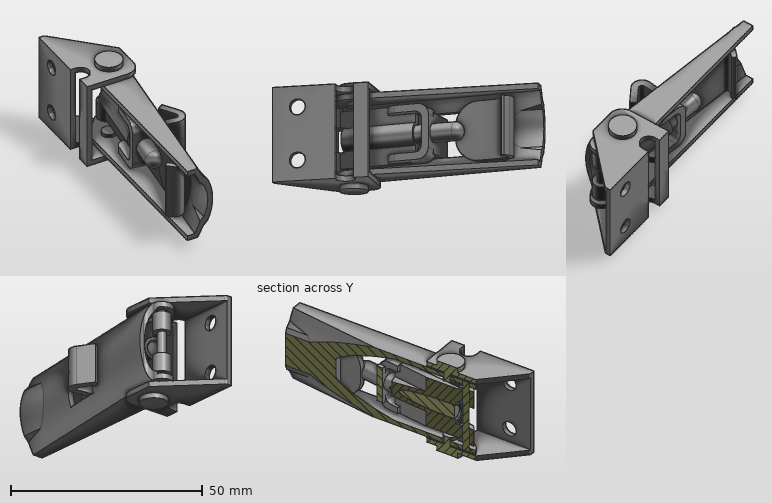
import cadquery as cq
import math


tilt = 7.5
sheet = 1.5
strip = 2.0

bracket_half_width = 12.7
bracket_length = 25.95
bracket_height = 16.1
bracket_toe = 1.6
toe_round = 1.2
shoulder_round = 3.9
slot_width = 5.0
slot_height = 4.15
mount_hole_dia = 4.2
mount_hole_x = 6.8
mount_hole_z = 7.1

pivot_x = 19.45
pivot_y = 10.15
rivet_head_dia = 7.5
rivet_shank_dia = 4.0
rivet_length = 28.3
rivet_inner_z = 8.5

pin_x = 13.4
pin_y = 12.55
pin_dia = 2.5

lever_end_x = 70.5
lever_half_width = 11.0
lever_roof_radius = 20.0
lever_roof_top = 6.4
lever_nose_x = 14.9
lever_pin_lug_radius = 3.0
lever_pivot_lug_radius = 5.0
lever_nose_round = 2.0
window_start = 24.5
window_end = 35.45
window_half_width = 6.0

tab_start_x = 56.4
tab_base_y = 8.45
tab_outer_half_width = 6.5
tab_outer_edge_y = 11.3
tab_crest_y = 12.75
tab_inner_half_width = 5.0
tab_inner_edge_y = 10.1

catch_half_width = 8.0
catch_underside = 1.5
catch_start = 33.8
catch_corner_round = 6.35
catch_bend_at = 48.0
catch_bend_inner = 1.0
catch_fold_angle = 127.5
catch_lip_length = 2.05
catch_lip_chamfer = 0.4
catch_pad_half_width = 8.7
catch_pad_start = 40.75
catch_pad_full_start = 42.45
catch_pad_full_end = 47.1

hinge_dia = 4.9
hinge_inner_z = 3.3
hinge_outer_z = 8.5
link_half_width = 7.7
link_end = 23.5
barrel_dia = 6.5
barrel_start = 3.25
barrel_mouth_depth = 0.4
shoulder_end = 21.85

rod_dia = 5.0
rod_core_dia = 4.15
rod_tip = 36.7
frame_half_width = 7.5
frame_start = 16.0
frame_end = 28.1
frame_bottom = -3.6
frame_top = 1.8
frame_outer_round = 3.0
frame_inner_round = 2.0
frame_foot_round = 2.5
hook_half_width = 5.5
hook_bend_inner = 1.0
hook_bend_height = 9.3
hook_bend_angle = 130.0
hook_tip_length = 5.2

rivet_half_length = rivet_length / 2
lever_inner_half_width = lever_half_width - sheet
link_bottom = -strip / 2
catch_top = catch_underside + sheet
rod_radius = rod_dia / 2
far = 84.6


def both_sides(shape):
    """Join a shape to its mirror image across Z = 0."""
    return shape.union(shape.mirror("XY"))


def slab(outline, half_width):
    """Extrude a closed XY outline equally to both sides of Z = 0."""
    return outline.extrude(half_width, both=True)


def tilted(shape):
    """Move a shape drawn along X from the origin onto the sloping axis through the pin."""
    return shape.rotate((0, 0, 0), (0, 0, 1), -tilt).translate((pin_x, pin_y, 0))


def box(x0, x1, y0, y1, z0, z1):
    return cq.Workplane("XY").box(x1 - x0, y1 - y0, z1 - z0, centered=False).translate((x0, y0, z0))


def round_bar(x, y, dia, z0, z1):
    """Cylinder parallel to Z."""
    return cq.Workplane("XY", origin=(x, y, z0)).circle(dia / 2).extrude(z1 - z0)


def axial_bar(dia, x0, x1):
    """Cylinder along the X axis."""
    return cq.Workplane("YZ", origin=(x0, 0, 0)).circle(dia / 2).extrude(x1 - x0)


def make_bracket():
    front_top_x = bracket_height - bracket_toe
    outline = (
        cq.Workplane("XY")
        .polyline([
            (0, 0), (bracket_length, 0), (bracket_length, bracket_height),
            (front_top_x, bracket_height), (0, bracket_toe),
        ])
        .close()
    )
    body = slab(outline, bracket_half_width)
    body = body.edges(cq.selectors.NearestToPointSelector((0, bracket_toe, 0))).fillet(toe_round)
    shoulder = (bracket_length, bracket_height, 0)
    body = body.edges(cq.selectors.NearestToPointSelector(shoulder)).fillet(shoulder_round)

    inner_z = bracket_half_width - sheet
    body = body.cut(box(-far, far, sheet, far, -inner_z, inner_z))

    slot_radius = slot_width / 2
    slot_centre_y = slot_height - slot_radius
    body = body.cut(box(pivot_x - slot_radius, pivot_x + slot_radius, -0.7, slot_centre_y, -far, far))
    body = body.cut(round_bar(pivot_x, slot_centre_y, slot_width, -far, far))

    holes = (
        cq.Workplane("XZ")
        .pushPoints([(mount_hole_x, mount_hole_z), (mount_hole_x, -mount_hole_z)])
        .circle(mount_hole_dia / 2)
        .extrude(-far)
    )
    body = body.cut(holes)

    head = round_bar(pivot_x, pivot_y, rivet_head_dia, bracket_half_width, rivet_half_length)
    shank = round_bar(pivot_x, pivot_y, rivet_shank_dia, rivet_inner_z, bracket_half_width)
    return body.union(both_sides(head.union(shank)))


def roof_prism(half_width, roof_radius):
    """Long bar with an arched top, its arch centred with the lever roof."""
    centre_y = lever_roof_top - lever_roof_radius
    eave_y = centre_y + math.sqrt(roof_radius**2 - half_width**2)
    section = (
        cq.Workplane("YZ", origin=(-far, 0, 0))
        .moveTo(-far, -half_width)
        .lineTo(eave_y, -half_width)
        .threePointArc((centre_y + roof_radius, 0), (eave_y, half_width))
        .lineTo(-far, half_width)
        .close()
    )
    return tilted(section.extrude(3 * far))


def lever_side_outline():
    """Side shape: two round lugs joined by a tangent, then the straight lower edge."""
    nose_centre_x = lever_nose_x - lever_nose_round
    reach = lever_pin_lug_radius + lever_nose_round
    nose_dx = nose_centre_x - pin_x
    nose_dy = math.sqrt(reach**2 - nose_dx**2)
    nose_centre_y = pin_y + nose_dy
    lug_share = lever_pin_lug_radius / reach
    nose_foot = (pin_x + nose_dx * lug_share, pin_y + nose_dy * lug_share)
    nose_mid = (
        nose_centre_x + lever_nose_round * math.cos(math.radians(45)),
        nose_centre_y - lever_nose_round * math.sin(math.radians(45)),
    )

    dx = pivot_x - pin_x
    dy = pivot_y - pin_y
    growth = math.asin((lever_pivot_lug_radius - lever_pin_lug_radius) / math.hypot(dx, dy))
    normal = math.atan2(dy, dx) - growth - math.pi / 2

    def on_lug(x, y, radius, angle):
        return (x + radius * math.cos(angle), y + radius * math.sin(angle))

    lower_mid = (normal - math.pi / 2) / 2
    return (
        cq.Workplane("XY")
        .moveTo(lever_nose_x, far)
        .lineTo(lever_nose_x, nose_centre_y)
        .threePointArc(nose_mid, nose_foot)
        .threePointArc(
            (pin_x - lever_pin_lug_radius, pin_y),
            on_lug(pin_x, pin_y, lever_pin_lug_radius, normal),
        )
        .lineTo(*on_lug(pivot_x, pivot_y, lever_pivot_lug_radius, normal))
        .threePointArc(
            on_lug(pivot_x, pivot_y, lever_pivot_lug_radius, lower_mid),
            (pivot_x, pivot_y - lever_pivot_lug_radius),
        )
        .lineTo(lever_end_x, pivot_y - lever_pivot_lug_radius)
        .lineTo(lever_end_x, far)
        .close()
    )


def tab_prism(half_width, edge_y, crest_y):
    """Level bar with an arched crest and 45 degree flanks."""
    foot = half_width + edge_y - tab_base_y
    section = (
        cq.Workplane("YZ", origin=(tab_start_x, 0, 0))
        .moveTo(tab_base_y, -foot)
        .lineTo(edge_y, -half_width)
        .threePointArc((crest_y, 0), (edge_y, half_width))
        .lineTo(tab_base_y, foot)
        .close()
    )
    return section.extrude(lever_end_x - tab_start_x)


def catch_side_outline():
    """Plate with its rear end folded back under itself, ending in a chamfered lip."""
    outer_radius = catch_bend_inner + sheet
    bend_height = catch_underside - catch_bend_inner
    lip_angle = math.radians(90 - catch_fold_angle)
    mid_angle = (lip_angle + math.pi / 2) / 2

    def on_fold(radius, angle, along=0.0):
        x = catch_bend_at + radius * math.cos(angle) + along * math.sin(angle)
        return (x, bend_height + radius * math.sin(angle) - along * math.cos(angle))

    lip_chamfer_start = catch_lip_length - catch_lip_chamfer
    return (
        cq.Workplane("XY")
        .moveTo(catch_start, catch_underside)
        .lineTo(catch_bend_at, catch_underside)
        .threePointArc(on_fold(catch_bend_inner, mid_angle), on_fold(catch_bend_inner, lip_angle))
        .lineTo(*on_fold(catch_bend_inner, lip_angle, lip_chamfer_start))
        .lineTo(*on_fold(catch_bend_inner + catch_lip_chamfer, lip_angle, catch_lip_length))
        .lineTo(*on_fold(outer_radius - catch_lip_chamfer, lip_angle, catch_lip_length))
        .lineTo(*on_fold(outer_radius, lip_angle, lip_chamfer_start))
        .lineTo(*on_fold(outer_radius, lip_angle))
        .threePointArc(on_fold(outer_radius, mid_angle), (catch_bend_at, catch_top))
        .lineTo(catch_start, catch_top)
        .close()
    )


def make_catch():
    """Folded plate with a rounded front, and the wider pad that joins it to the lever roof."""
    plate = slab(catch_side_outline(), catch_half_width)
    plate = plate.edges("<X and |Y").fillet(catch_corner_round)
    pad = (
        cq.Workplane("XZ", origin=(0, catch_top, 0))
        .polyline([
            (catch_pad_start, -catch_half_width),
            (catch_pad_full_start, -catch_pad_half_width),
            (catch_pad_full_end, -catch_pad_half_width),
            (catch_bend_at, -catch_half_width),
            (catch_bend_at, catch_half_width),
            (catch_pad_full_end, catch_pad_half_width),
            (catch_pad_full_start, catch_pad_half_width),
            (catch_pad_start, catch_half_width),
        ])
        .close()
        .extrude(-far)
    )
    return tilted(plate.union(pad))


def make_lever():
    outer = slab(lever_side_outline(), lever_half_width)
    outer = outer.intersect(roof_prism(lever_half_width, lever_roof_radius))
    outer = outer.union(tab_prism(tab_outer_half_width, tab_outer_edge_y, tab_crest_y))

    body = outer.cut(roof_prism(lever_inner_half_width, lever_roof_radius - sheet))
    body = body.cut(tab_prism(tab_inner_half_width, tab_inner_edge_y, tab_crest_y - sheet))

    window = box(window_start, window_end, 0, far, -window_half_width, window_half_width)
    body = body.cut(tilted(window))

    catch_limit = roof_prism(lever_half_width, lever_roof_radius - sheet / 2)
    body = body.union(make_catch().intersect(catch_limit))

    body = body.cut(tilted(rod_shape()))
    body = body.cut(round_bar(pivot_x, pivot_y, rivet_shank_dia, -far, far))
    return body.cut(round_bar(pin_x, pin_y, pin_dia, -far, far))


def make_link():
    frame_inner_z = frame_half_width - strip
    plate = box(0, shoulder_end, link_bottom, -link_bottom, -link_half_width, link_half_width)
    plate = plate.union(box(0, link_end, link_bottom, -link_bottom, -frame_inner_z, frame_inner_z))
    plate = plate.cut(box(-far, barrel_start, -far, far, -hinge_inner_z, hinge_inner_z))
    hinge = round_bar(0, 0, hinge_dia, hinge_inner_z, hinge_outer_z)
    body = plate.union(both_sides(hinge)).union(axial_bar(barrel_dia, barrel_start, link_end))
    body = body.cut(axial_bar(rod_core_dia, barrel_start, link_end)).cut(barrel_mouth())
    return tilted(body.cut(round_bar(0, 0, pin_dia, -far, far)))


def barrel_mouth():
    """Countersink at the hinge end of the barrel."""
    mouth = cq.Workplane("YZ", origin=(barrel_start, 0, 0)).circle(rod_dia / 2)
    return mouth.workplane(offset=barrel_mouth_depth).circle(rod_core_dia / 2).loft()


def rod_shape():
    """Rod with a slimmer core inside the barrel, a shoulder at the barrel end and a domed tip."""
    core = axial_bar(rod_core_dia, barrel_start + barrel_mouth_depth, link_end)
    rod = core.union(axial_bar(rod_dia, link_end, rod_tip - rod_radius))
    dome = cq.Workplane("XY").sphere(rod_radius).translate((rod_tip - rod_radius, 0, 0))
    return rod.union(dome)


def hook_frame():
    """U-shaped strip: two legs lying under the link plate, joined by a taller cross wall."""
    frame = box(frame_start, frame_end, frame_bottom, frame_top, -frame_half_width, frame_half_width)
    frame = frame.edges(">X and |Y").fillet(frame_outer_round)
    inner_z = frame_half_width - strip
    opening = box(-far, frame_end - strip, -far, far, -inner_z, inner_z)
    frame = frame.cut(opening.edges(">X and |Y").fillet(frame_inner_round))
    frame = frame.cut(box(-far, shoulder_end, link_bottom, far, -far, far))
    return frame.edges("<X and <Y").fillet(frame_foot_round)


def hook_blade():
    """Blade rising from the cross wall, bent back over the lever."""
    outer_radius = hook_bend_inner + strip
    centre_x = frame_end - outer_radius
    turn = math.radians(hook_bend_angle)

    def on_bend(radius, angle, along=0.0):
        x = centre_x + radius * math.cos(angle) - along * math.sin(angle)
        return (x, hook_bend_height + radius * math.sin(angle) + along * math.cos(angle))

    outline = (
        cq.Workplane("XY")
        .moveTo(frame_end, 0)
        .lineTo(*on_bend(outer_radius, 0))
        .threePointArc(on_bend(outer_radius, turn / 2), on_bend(outer_radius, turn))
        .lineTo(*on_bend(outer_radius, turn, hook_tip_length))
        .lineTo(*on_bend(hook_bend_inner, turn, hook_tip_length))
        .lineTo(*on_bend(hook_bend_inner, turn))
        .threePointArc(on_bend(hook_bend_inner, turn / 2), on_bend(hook_bend_inner, 0))
        .lineTo(frame_end - strip, 0)
        .close()
    )
    return slab(outline, hook_half_width)


def make_hook():
    return tilted(hook_frame().union(hook_blade()).union(rod_shape()))


def make_pin():
    return round_bar(pin_x, pin_y, pin_dia, -lever_half_width, lever_half_width)


bracket = make_bracket()
lever = make_lever()
link = make_link()
hook = make_hook()
pin = make_pin()

result = cq.Compound.makeCompound([
    bracket.val(),
    lever.val(),
    link.val(),
    hook.val(),
    pin.val(),
])